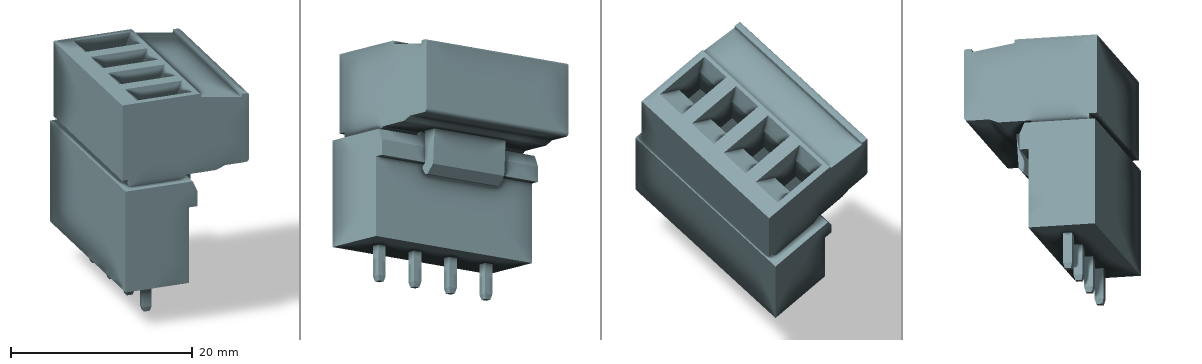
import cadquery as cq

poles = 4
pitch = 5.08
total_height = 25.9

socket_width = 22.33
socket_depth = 7.54
socket_bottom = 4.01
socket_top = 16.03
lip_depth = 8.55
lip_top_depth = 7.98
lip_bottom = 13.0
lip_bevel_bottom = 14.76

pin_size = 1.0
pin_tip_size = 0.7
pin_tip_height = 0.6
pin_y = 3.8

plug_width = poles * pitch
plug_depth = 15.05
plug_front_bottom = 16.95
plug_low_bottom = 16.52
foot_front = 0.88
foot_back = 6.85
back_radius = 0.4
ridge_top = 25.12
ridge_front = 14.25
ridge_radius = 0.2
groove_y = 14.15
groove_bottom = 24.75
ramp_front = 9.35
ramp_top = 25.49
top_edge_radius = 0.15
bottom_ramp_back = 12.22
bottom_ramp_front = 11.15

mouth_width = 3.52
mouth_front = 2.05
mouth_back = 8.83
chamber_width = 2.98
chamber_front = 4.71
chamber_back = 7.93
funnel_depth = 2.02
chamber_depth = 3.88

latch_width = 2 * pitch
latch_inner = 8.65
latch_root_top = 17.1
latch_root_outer = 10.3
latch_elbow_outer = 10.05
latch_elbow_z = 12.6
hook_tip_outer = 9.06
hook_tip_inner = 8.73
hook_tip_z = 11.6
hook_nose_y = 8.24
hook_nose_bottom = 12.3
hook_nose_top = 12.54
hook_catch_z = 12.95
latch_root_radius = 0.2

pole_xs = [(i - (poles - 1) / 2) * pitch for i in range(poles)]


def extrude_profile(points, width):
    """Extrude a (Y, Z) outline along X, centred on X = 0."""
    plane = cq.Workplane("YZ", origin=(-width / 2, 0, 0))
    return plane.polyline(points).close().extrude(width)


def round_edge(body, y, z, radius):
    """Fillet the edge parallel to X that passes through (y, z)."""
    edge = cq.selectors.NearestToPointSelector((0, y, z))
    return body.edges(edge).fillet(radius)


def frustum(x, z_from, rise, lower, upper):
    """Loft between two rectangles, each given as (width, front Y, back Y)."""
    def centre(rect):
        return (rect[1] + rect[2]) / 2

    def size(rect):
        return rect[0], rect[2] - rect[1]

    return (
        cq.Workplane("XY", origin=(x, centre(lower), z_from))
        .rect(*size(lower))
        .workplane(offset=rise)
        .center(0, centre(upper) - centre(lower))
        .rect(*size(upper))
        .loft(ruled=True)
    )


def make_socket():
    return extrude_profile(
        [
            (0, socket_bottom),
            (socket_depth, socket_bottom),
            (socket_depth, lip_bottom),
            (lip_depth, lip_bottom),
            (lip_depth, lip_bevel_bottom),
            (lip_top_depth, socket_top),
            (0, socket_top),
        ],
        socket_width,
    )


def make_pin(x):
    def square(size):
        return size, pin_y - size / 2, pin_y + size / 2

    shank = square(pin_size)
    tip = frustum(x, 0, pin_tip_height, square(pin_tip_size), shank)
    return tip.union(frustum(x, pin_tip_height, socket_bottom - pin_tip_height, shank, shank))


def make_plug():
    body = extrude_profile(
        [
            (0, plug_front_bottom),
            (foot_front, plug_front_bottom),
            (foot_front, socket_top),
            (foot_back, socket_top),
            (socket_depth, plug_low_bottom),
            (bottom_ramp_front, plug_low_bottom),
            (bottom_ramp_back, plug_front_bottom),
            (plug_depth, plug_front_bottom),
            (plug_depth, ridge_top),
            (ridge_front, ridge_top),
            (groove_y, groove_bottom),
            (ramp_front, ramp_top),
            (ramp_front, total_height),
            (0, total_height),
        ],
        plug_width,
    )
    body = round_edge(body, plug_depth, plug_front_bottom, back_radius)
    body = round_edge(body, plug_depth, ridge_top, ridge_radius)
    return round_edge(body, ramp_front, total_height, top_edge_radius)


def make_wire_entry(x):
    mouth = (mouth_width, mouth_front, mouth_back)
    chamber = (chamber_width, chamber_front, chamber_back)
    funnel_bottom = total_height - funnel_depth
    funnel = frustum(x, funnel_bottom, funnel_depth, chamber, mouth)
    return funnel.union(frustum(x, funnel_bottom - chamber_depth, chamber_depth, chamber, chamber))


def make_latch():
    """Hooked arm and the root web in front of it, running up into the plug."""
    arm = extrude_profile(
        [
            (latch_root_outer, latch_root_top),
            (latch_root_outer, plug_low_bottom),
            (latch_elbow_outer, latch_elbow_z),
            (hook_tip_outer, hook_tip_z),
            (hook_tip_inner, hook_tip_z),
            (hook_nose_y, hook_nose_bottom),
            (hook_nose_y, hook_nose_top),
            (latch_inner, hook_catch_z),
            (latch_inner, plug_low_bottom),
            (lip_top_depth, plug_low_bottom),
            (lip_top_depth, socket_top),
            (foot_back, socket_top),
            (foot_back, latch_root_top),
        ],
        latch_width,
    )
    for corner_y in (latch_inner, lip_top_depth):
        arm = round_edge(arm, corner_y, plug_low_bottom, latch_root_radius)
    return arm


result = make_socket().union(make_plug()).union(make_latch())
for pole_x in pole_xs:
    result = result.union(make_pin(pole_x)).cut(make_wire_entry(pole_x))